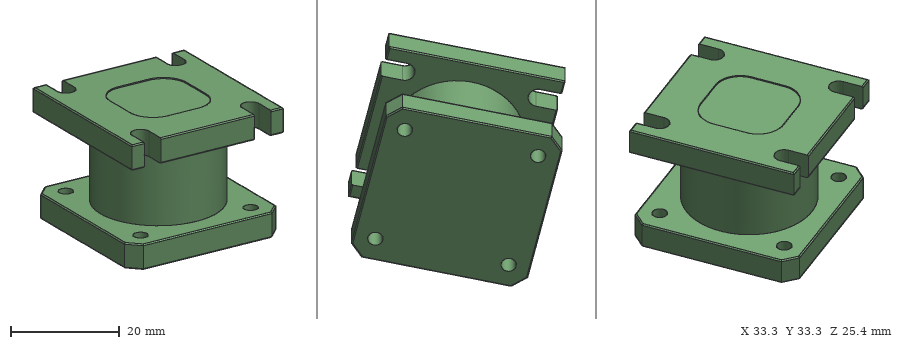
import cadquery as cq

plate_side = 33.32
total_height = 25.4
plate_thickness = 5.08
edge_chamfer = 0.25

column_diameter = 25.4

corner_cut = 2.54
hole_diameter = 2.8

pattern_x = 25.2
pattern_y = 24.2
slot_width = 3.7

recess_side = plate_side / 2
recess_corner_radius = 5.0
recess_depth = 0.25

top_plate_bottom = total_height - plate_thickness


def make_plate(bottom, corner_chamfer=0.0):
    """Square plate with chamfered rims and optionally cut-off corners."""
    plate = cq.Workplane("XY").workplane(offset=bottom).rect(plate_side, plate_side).extrude(plate_thickness)
    if corner_chamfer > 0:
        plate = plate.edges("|Z").chamfer(corner_chamfer)
    return plate.faces("<Z or >Z").edges().chamfer(edge_chamfer)


def make_base():
    """Lower flange with four through holes."""
    holes = (
        cq.Workplane("XY")
        .rect(pattern_x, pattern_y, forConstruction=True)
        .vertices()
        .circle(hole_diameter / 2)
        .extrude(plate_thickness)
    )
    return make_plate(0, corner_cut).cut(holes)


def make_column():
    """Cylinder between the two plates."""
    column_height = top_plate_bottom - plate_thickness
    return cq.Workplane("XY").workplane(offset=plate_thickness).circle(column_diameter / 2).extrude(column_height)


def make_edge_slot(side_x, side_y):
    """Cutter for one round-ended slot, open at the X side of the top plate."""
    inner_x = side_x * pattern_x / 2
    outer_x = side_x * plate_side / 2
    center_y = side_y * pattern_y / 2
    plane = cq.Workplane("XY").workplane(offset=top_plate_bottom)
    round_end = plane.center(inner_x, center_y).circle(slot_width / 2).extrude(plate_thickness)
    channel = (
        plane.center((inner_x + outer_x) / 2, center_y)
        .rect(abs(outer_x - inner_x), slot_width)
        .extrude(plate_thickness)
    )
    return round_end.union(channel)


def make_recess():
    """Cutter for the rounded square recess."""
    return (
        cq.Workplane("XY")
        .workplane(offset=total_height - recess_depth)
        .rect(recess_side, recess_side)
        .extrude(recess_depth)
        .edges("|Z")
        .fillet(recess_corner_radius)
    )


def make_top_plate():
    """Upper plate with four open slots and a central recess."""
    plate = make_plate(top_plate_bottom)
    for side_x in (-1, 1):
        for side_y in (-1, 1):
            plate = plate.cut(make_edge_slot(side_x, side_y))
    return plate.cut(make_recess())


result = make_base().union(make_column()).union(make_top_plate())